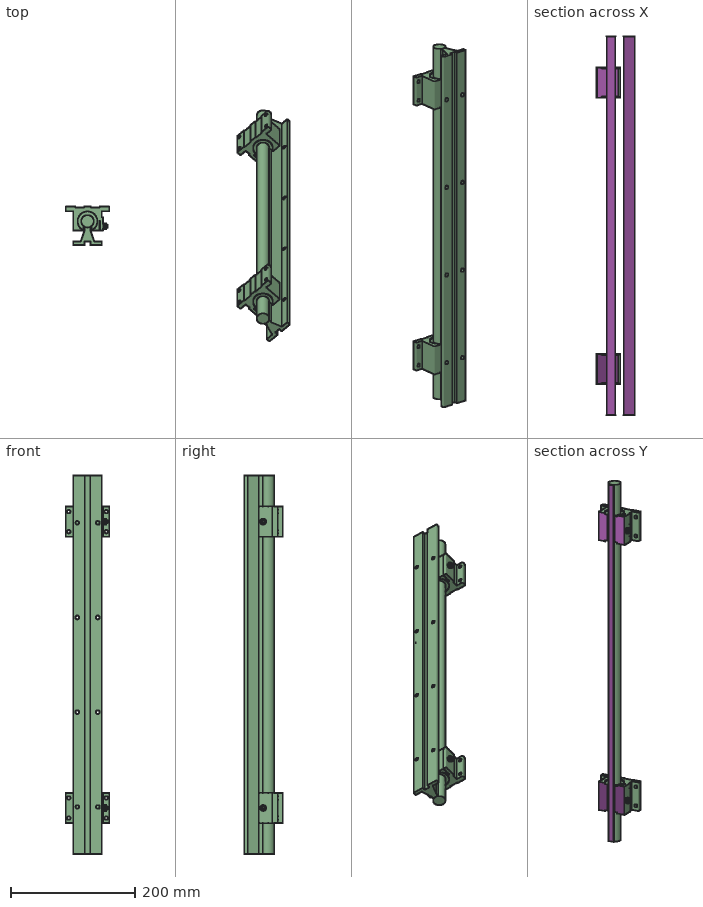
import cadquery as cq

length = 609.5
shaft_diameter = 20.0
shaft_radius = shaft_diameter / 2
edge_radius = 0.5

base_width = 46.5
base_thickness = 6.0
base_drop = 38.5
neck_top_width = 10.0
neck_bottom_width = 22.0
neck_shoulder_drop = 14.5
groove_width = 9.0
groove_depth = 5.5
mount_hole_diameter = 5.8
mount_hole_spacing_x = 33.0
mount_hole_pitch = 152.5
mount_hole_rows = 4

carriage_spacing = 461.0
carriage_length = 49.0
flange_width = 70.0
flange_thickness = 8.0
flange_top = 24.0
body_width = 46.5
body_drop = 15.0
boss_reach = 25.0
boss_top = 7.0
relief_inner = 5.5
relief_outer = 19.5
relief_depth = 1.0
flange_hole_diameter = 5.2
flange_hole_spacing_x = 60.5
flange_hole_spacing_z = 32.5
bearing_diameter = 32.0
bearing_recess = 2.0
opening_top_width = 10.0
opening_bottom_width = 14.5
slit_width = 0.5
slit_offset = 19.5
slit_top = 0.5

nipple_drop = 8.0
nipple_stem_diameter = 7.5
nipple_stem_length = 3.0
nipple_collar_diameter = 10.0
nipple_collar_length = 2.0
nipple_tip_root_diameter = 7.0
nipple_tip_end_diameter = 4.0
nipple_tip_length = 2.5


def make_shaft():
    return cq.Workplane("XY").workplane(offset=-length / 2).circle(shaft_radius).extrude(length)


def make_support(shaft):
    """Flanged base with a tapered neck that cradles the shaft."""
    base_top = base_thickness - base_drop
    right_side = [
        (groove_width / 2, -base_drop),
        (base_width / 2, -base_drop),
        (base_width / 2, base_top),
        (neck_bottom_width / 2, base_top),
        (neck_top_width / 2, -neck_shoulder_drop),
        (neck_top_width / 2, 0),
    ]
    left_side = [(-x, y) for x, y in reversed(right_side)]
    groove_roof = groove_depth - base_drop
    groove = [(-groove_width / 2, groove_roof), (groove_width / 2, groove_roof)]
    support = (
        cq.Workplane("XY")
        .workplane(offset=-length / 2)
        .polyline(right_side + left_side + groove)
        .close()
        .extrude(length)
    )
    support = support.faces("<X or >X").edges("<Y").fillet(edge_radius)
    holes = (
        cq.Workplane("XZ", origin=(0, -base_drop, 0))
        .rarray(mount_hole_spacing_x, mount_hole_pitch, 2, mount_hole_rows)
        .circle(mount_hole_diameter / 2)
        .extrude(-base_thickness)
    )
    return support.cut(holes).cut(shaft)


def make_nipple():
    """Grease nipple on the +X side: a stem, a collar and a conical tip."""
    collar_end = nipple_stem_length + nipple_collar_length
    tip_end = collar_end + nipple_tip_length
    outline = [
        (0, 0),
        (0, nipple_stem_diameter / 2),
        (nipple_stem_length, nipple_stem_diameter / 2),
        (nipple_stem_length, nipple_collar_diameter / 2),
        (collar_end, nipple_collar_diameter / 2),
        (collar_end, nipple_tip_root_diameter / 2),
        (tip_end, nipple_tip_end_diameter / 2),
        (tip_end, 0),
    ]
    return (
        cq.Workplane("XY", origin=(boss_reach, -nipple_drop, 0))
        .polyline(outline)
        .close()
        .revolve(360, (0, 0, 0), (1, 0, 0))
    )


def make_carriage(center_z):
    """Open flanged bearing block with its grease nipple."""
    flange_bottom = flange_top - flange_thickness
    outline = [
        (-flange_width / 2, flange_top),
        (-relief_outer, flange_top),
        (-relief_outer, flange_top - relief_depth),
        (-relief_inner, flange_top - relief_depth),
        (-relief_inner, flange_top),
        (relief_inner, flange_top),
        (relief_inner, flange_top - relief_depth),
        (relief_outer, flange_top - relief_depth),
        (relief_outer, flange_top),
        (flange_width / 2, flange_top),
        (flange_width / 2, flange_bottom),
        (body_width / 2, flange_bottom),
        (body_width / 2, boss_top),
        (boss_reach, boss_top),
        (boss_reach, -body_drop),
        (-body_width / 2, -body_drop),
        (-body_width / 2, flange_bottom),
        (-flange_width / 2, flange_bottom),
    ]
    middle = cq.Workplane("XY")
    block = middle.polyline(outline).close().extrude(carriage_length / 2, both=True)
    block = block.edges("|Z").edges("<X or >X").fillet(edge_radius)
    block = block.faces("<Y").edges("|Z").fillet(edge_radius)
    bore = middle.circle(shaft_radius).extrude(carriage_length, both=True)
    opening = (
        middle.polyline([
            (-opening_top_width / 2, 0),
            (opening_top_width / 2, 0),
            (opening_bottom_width / 2, -body_drop),
            (-opening_bottom_width / 2, -body_drop),
        ])
        .close()
        .extrude(carriage_length, both=True)
    )
    block = block.cut(bore).cut(opening)
    for side in (-1, 1):
        recess = (
            cq.Workplane("XY", origin=(0, 0, side * carriage_length / 2))
            .circle(bearing_diameter / 2)
            .extrude(-side * bearing_recess)
        )
        block = block.cut(recess)
    holes = (
        cq.Workplane("XZ", origin=(0, flange_top, 0))
        .rarray(flange_hole_spacing_x, flange_hole_spacing_z, 2, 2)
        .circle(flange_hole_diameter / 2)
        .extrude(flange_thickness)
    )
    slit = (
        cq.Workplane("XY")
        .center(slit_offset, (slit_top - body_drop) / 2)
        .rect(slit_width, slit_top + body_drop)
        .extrude(carriage_length, both=True)
    )
    return block.cut(holes).cut(slit).union(make_nipple()).translate((0, 0, center_z))


shaft = make_shaft()
support = make_support(shaft)
carriages = [make_carriage(side * carriage_spacing / 2) for side in (-1, 1)]

result = cq.Compound.makeCompound([shaft.val(), support.val(), *[c.val() for c in carriages]])